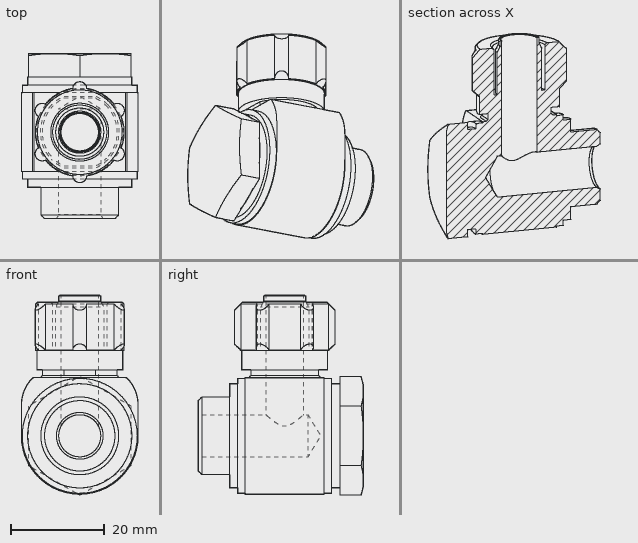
import math

import cadquery as cq


block_half_length = 8.45
washer_diameter = 24.6
washer_thickness = 1.6
collar_diameter = 22.3
collar_thickness = 1.75
thread_diameter = 16.66
thread_end_y = -18.5
thread_chamfer = 0.8
hex_across_flats = 22.0
hex_half_sector = 30.0
hex_end_y = 16.8
hex_chamfer_angle = 15.0
bolt_bore_diameter = 9.0
bolt_bore_chamfer_width = 0.5
bolt_bore_chamfer_depth = 0.85
bolt_bore_end_y = 5.0
drill_point_angle = 118.0

block_half_width = 12.5
block_top_z = 12.5
shoulder_start_z = 6.6
block_top_half_width = 9.8
bevel_width = 0.3
bevel_height = 0.13

neck_diameter = 16.0
neck_across_flats = 14.5
neck_foot_height = 0.4
neck_top_z = 14.1

sleeve_diameter = 18.4
grip_bottom_z = 18.2
nut_top_z = 28.6
grip_diameter = 19.0
grip_top_face_diameter = 18.1
grip_bottom_face_diameter = 18.7
lobe_radius = 1.5
lobe_tip_radius = 10.78
lobe_count = 6
nut_bore_diameter = 11.6
nut_bore_chamfer = 0.4

stem_top_z = 30.1
stem_tip_diameter = 9.0
stem_tip_chamfer = 0.25
stem_diameter = 10.3
stem_cone_top_z = 28.85
stem_cone_bottom_z = 27.5
stem_bore_diameter = 8.0
stem_bore_chamfer = 0.2


def cylinder_y(diameter, start_y, end_y):
    """Cylinder on the bolt axis between two Y positions."""
    return cq.Workplane("XZ", origin=(0, start_y, 0)).circle(diameter / 2).extrude(start_y - end_y)


def cylinder_z(diameter, bottom_z, top_z):
    """Cylinder on the outlet axis between two Z positions."""
    return cq.Workplane("XY", origin=(0, 0, bottom_z)).circle(diameter / 2).extrude(top_z - bottom_z)


def revolve_y(points):
    """Solid of revolution about Y from (radius, y) points."""
    return cq.Workplane("XY").polyline(points).close().revolve(360, (0, 0, 0), (0, 1, 0))


def revolve_z(points):
    """Solid of revolution about Z from (radius, z) points."""
    return cq.Workplane("XZ").polyline(points).close().revolve(360, (0, 0, 0), (0, 1, 0))


def make_block():
    """Block with a round underside, flat sides, arched shoulders and bevelled top edges."""
    shoulder_x = block_top_half_width + bevel_width
    shoulder_z = block_top_z - bevel_height
    underside_mid = block_half_width * math.sqrt(0.5)
    half_block = (
        cq.Workplane("XZ", origin=(0, block_half_length, 0))
        .moveTo(0, -block_half_width)
        .threePointArc((underside_mid, -underside_mid), (block_half_width, 0))
        .lineTo(block_half_width, shoulder_start_z)
        .tangentArcPoint((shoulder_x, shoulder_z), relative=False)
        .lineTo(block_top_half_width, block_top_z)
        .lineTo(0, block_top_z)
        .close()
        .extrude(2 * block_half_length)
    )
    return half_block.union(half_block.mirror("YZ"))


def make_hex_head(start_y):
    """Hexagon head with corners up and down, chamfered on its outer face."""
    corner_diameter = hex_across_flats / math.cos(math.radians(hex_half_sector))
    corner_radius = corner_diameter / 2
    flat_radius = hex_across_flats / 2
    chamfer_depth = (corner_radius - flat_radius) * math.tan(math.radians(hex_chamfer_angle))
    head = (
        cq.Workplane("XZ", origin=(0, hex_end_y, 0))
        .transformed(rotate=(0, 0, 90))
        .polygon(6, corner_diameter)
        .extrude(hex_end_y - start_y)
    )
    envelope = revolve_y([
        (0, start_y),
        (corner_radius, start_y),
        (corner_radius, hex_end_y - chamfer_depth),
        (flat_radius, hex_end_y),
        (0, hex_end_y),
    ])
    return head.intersect(envelope)


def make_bolt():
    """Washers and collars on both sides of the block, the threaded end and the hexagon head."""
    washer_y = block_half_length + washer_thickness
    collar_y = washer_y + collar_thickness
    thread = cylinder_y(thread_diameter, 0, thread_end_y).faces("<Y").chamfer(thread_chamfer)
    washers = cylinder_y(washer_diameter, washer_y, -washer_y)
    collars = cylinder_y(collar_diameter, collar_y, -collar_y)
    return thread.union(washers).union(collars).union(make_hex_head(collar_y))


def make_neck():
    """Round neck with two flats facing along Y and a foot flared at 45 degrees."""
    neck = cylinder_z(neck_diameter, 0, neck_top_z)
    slab = cq.Workplane("XY").box(neck_diameter, neck_across_flats, 2 * neck_top_z)
    neck = neck.intersect(slab)
    foot_top_z = block_top_z + neck_foot_height
    foot = (
        neck.faces(">Z")
        .wires()
        .translate((0, 0, foot_top_z - neck_top_z))
        .toPending()
        .extrude(-neck_foot_height, combine=False, taper=-45)
    )
    return neck.union(foot)


def make_nut():
    """Union nut: a plain sleeve below a lobed grip whose ends are coned at 45 degrees."""
    sleeve = cylinder_z(sleeve_diameter, neck_top_z, grip_bottom_z)
    lobe_pitch_radius = lobe_tip_radius - lobe_radius
    grip = cylinder_z(grip_diameter, grip_bottom_z, nut_top_z)
    lobes = (
        cq.Workplane("XY", origin=(0, 0, grip_bottom_z))
        .polarArray(lobe_pitch_radius, 90, 360, lobe_count)
        .circle(lobe_radius)
        .extrude(nut_top_z - grip_bottom_z)
    )
    top_radius = grip_top_face_diameter / 2
    bottom_radius = grip_bottom_face_diameter / 2
    envelope = revolve_z([
        (0, grip_bottom_z),
        (bottom_radius, grip_bottom_z),
        (lobe_tip_radius, grip_bottom_z + lobe_tip_radius - bottom_radius),
        (lobe_tip_radius, nut_top_z - lobe_tip_radius + top_radius),
        (top_radius, nut_top_z),
        (0, nut_top_z),
    ])
    bore = cylinder_z(nut_bore_diameter, grip_bottom_z, nut_top_z)
    bore_radius = nut_bore_diameter / 2
    bore_chamfer = revolve_z([
        (0, nut_top_z - nut_bore_chamfer),
        (bore_radius, nut_top_z - nut_bore_chamfer),
        (bore_radius + nut_bore_chamfer, nut_top_z),
        (0, nut_top_z),
    ])
    return grip.union(lobes).intersect(envelope).cut(bore).cut(bore_chamfer).union(sleeve)


def make_stem():
    """Hose stem inside the nut, narrowing through a cone to its tip."""
    tip_radius = stem_tip_diameter / 2
    stem_radius = stem_diameter / 2
    return revolve_z([
        (0, 0),
        (stem_radius, 0),
        (stem_radius, stem_cone_bottom_z),
        (tip_radius, stem_cone_top_z),
        (tip_radius, stem_top_z - stem_tip_chamfer),
        (tip_radius - stem_tip_chamfer, stem_top_z),
        (0, stem_top_z),
    ])


def make_bolt_bore():
    """Blind bore from the threaded end, with an entry chamfer and a drill point."""
    radius = bolt_bore_diameter / 2
    point_depth = radius / math.tan(math.radians(drill_point_angle / 2))
    return revolve_y([
        (0, thread_end_y),
        (radius + bolt_bore_chamfer_width, thread_end_y),
        (radius, thread_end_y + bolt_bore_chamfer_depth),
        (radius, bolt_bore_end_y),
        (0, bolt_bore_end_y + point_depth),
    ])


def make_stem_bore():
    """Bore from the stem tip down into the bolt bore, with an entry chamfer."""
    radius = stem_bore_diameter / 2
    return revolve_z([
        (0, 0),
        (radius, 0),
        (radius, stem_top_z - stem_bore_chamfer),
        (radius + stem_bore_chamfer, stem_top_z),
        (0, stem_top_z),
    ])


result = make_block().union(make_bolt()).union(make_neck()).union(make_nut()).union(make_stem())
result = result.cut(make_bolt_bore()).cut(make_stem_bore())